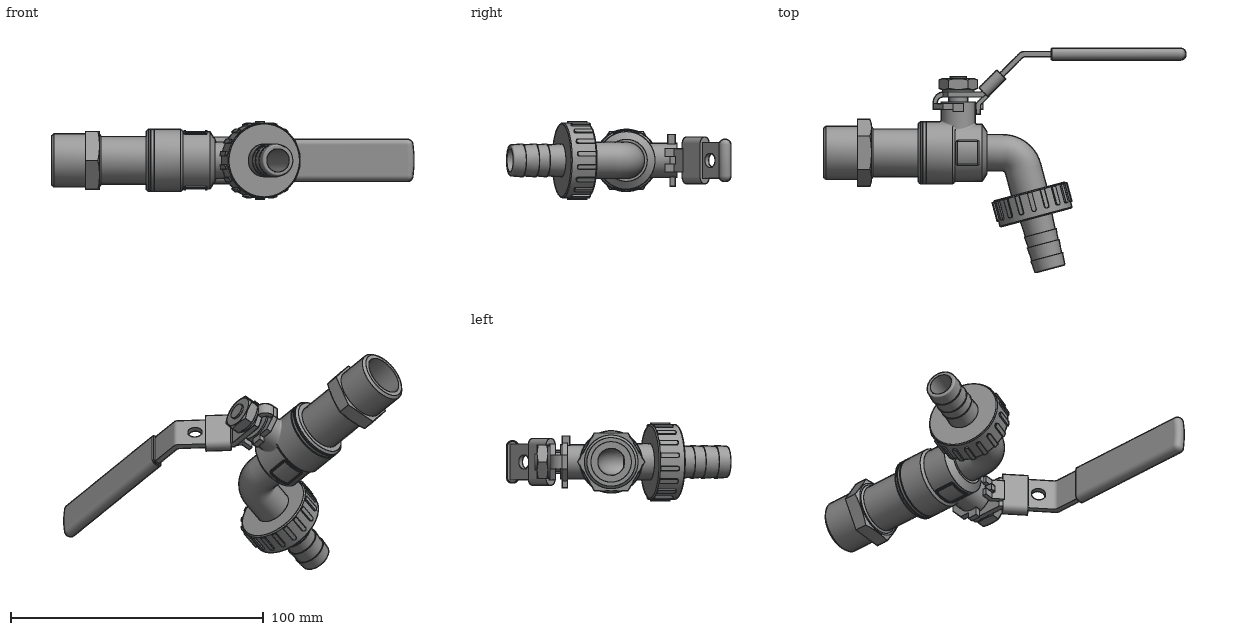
import cadquery as cq
import math


inlet_x = -53.3
inlet_chamfer = 1.0
thread_radius = 10.6
hex_start_x = -39.9
hex_end_x = -34.2
hex_across_flats = 23.0
hex_bevel = 0.7
pipe_radius = 9.5
pipe_fillet_radius = 10.4
pipe_fillet_length = 0.6
collar_start_x = -15.9
collar_end_x = -2.2
collar_radius = 12.35
collar_chamfer = 0.9
groove_places = (-14.3, -12.8)
groove_width = 0.3
groove_depth = 0.2
shell_start_x = -1.2
shell_end_x = 9.4
shell_radius = 11.35
shell_nose_x = 11.4
shell_nose_radius = 8.3
inlet_bore_radius = 8.0
inlet_bore_end_x = collar_start_x
flow_bore_radius = 5.3

frame_center_x = 3.7
frame_length = 9.2
frame_width = 10.0
frame_line = 0.6
frame_corner = 1.0
frame_top = 11.8

spout_radius = 7.25
bend_start_x = 17.6
bend_radius = 8.3
bend_angle = 75.0
nozzle_length = 41.18
nozzle_bore_radius = 4.6
nozzle_root_radius = 6.5
barb_tip_radius = 6.55
barb_root_radius = 6.15
barb_places = (26.4, 30.8, 36.2)
nozzle_tip_fillet = 0.6

cap_start = 9.4
cap_end = 20.1
cap_radius = 14.8
cap_back_chamfer = 0.5
cap_front_chamfer = 0.4
rib_count = 18
rib_top_radius = 15.45
rib_width = 1.8
rib_end = 17.6

boss_radius = 6.8
boss_top_y = 20.1
boss_fillet = 0.6
stop_bottom_y = 17.2
stop_top_y = 19.4
stop_left_x = -9.9
stop_right_x = 9.8
stop_foot_half = 2.8
stop_side_half = 7.5
stop_shoulder_x = -6.0
stop_end_half = 1.5
wing_half_width = 2.0
wing_reach = 10.25
wing_lip = 0.9
stem_radius = 3.8
stem_top_y = 30.1
stem_tip_radius = 3.2
nut_bottom_y = 24.9
nut_top_y = 29.4
nut_across_flats = 13.2
nut_bevel = 0.6
washer_radius = 6.3

slope_angle = 45.0
lever_thickness = 2.1
lever_mid_y = 23.05
lever_half_width = 7.1
lever_shoulder_x = -4.0
lever_neck_x = -6.0
lever_rise_x = 9.4
tab_thickness = 1.7
tab_outer_middle = (-9.2, 22.2)
tab_inner_middle = (-7.8, 21.1)
grip_mid_y = 39.0
grip_start_x = 36.7
grip_start_chamfer = 0.4
overall_length = 143.42
grip_end_x = inlet_x + overall_length
grip_overlap = 1.0
grip_thickness = 4.85
grip_half_width = 8.4
grip_bulge = 0.8
grip_round = 2.3
lever_bend_radius = 2.0
hole_radius = 2.8
hole_y = 33.8

sleeve_mid_y = 27.3
sleeve_length = 10.0
sleeve_thickness = 5.1
sleeve_offset = 0.2
sleeve_half_width = 9.3
tongue_half_width = 4.6
tongue_thickness = 1.7
tongue_x = 7.1
tongue_bottom_y = 15.2
tongue_turn_y = 18.9
tongue_rise = 3.5


def ring(start_x, end_x, outer, inner):
    """A tube about the X axis."""
    tube = cq.Workplane("YZ", origin=(start_x, 0, 0)).circle(outer).circle(inner)
    return tube.extrude(end_x - start_x)


def y_disc(bottom, top, radius):
    """A cylinder about the stem axis."""
    return cq.Workplane("XZ", origin=(0, bottom, 0)).circle(radius).extrude(bottom - top)


def hexagon(plane, origin, across_flats, height, corner_bevel, both_ends):
    """A hexagonal nut with its corners cut back by a cone."""
    corner_radius = across_flats / math.sqrt(3)
    nut = cq.Workplane(plane, origin=origin).polygon(6, 2 * corner_radius).extrude(height)
    bevel_width = corner_radius - across_flats / 2 + corner_bevel / 2
    cone = cq.Workplane(plane, origin=origin).circle(corner_radius).extrude(height)
    cone = cone.faces("|Y" if both_ends else ">X").chamfer(corner_bevel, bevel_width)
    return nut.intersect(cone)



def turned_housing():
    outline = (
        cq.Workplane("XY")
        .moveTo(inlet_x, 0)
        .lineTo(inlet_x, thread_radius - inlet_chamfer)
        .lineTo(inlet_x + inlet_chamfer, thread_radius)
        .lineTo(hex_end_x, thread_radius)
        .lineTo(hex_end_x, pipe_fillet_radius)
        .lineTo(hex_end_x + pipe_fillet_length, pipe_radius)
        .lineTo(collar_start_x, pipe_radius)
        .lineTo(collar_start_x, collar_radius - collar_chamfer)
        .lineTo(collar_start_x + collar_chamfer, collar_radius)
        .lineTo(collar_end_x, collar_radius)
        .lineTo(shell_start_x, shell_radius)
        .lineTo(shell_end_x, shell_radius)
        .lineTo(shell_nose_x, shell_nose_radius)
        .lineTo(shell_nose_x, 0)
        .close()
    )
    housing = outline.revolve(360, (0, 0, 0), (1, 0, 0))
    for groove_x in groove_places:
        housing = housing.cut(
            ring(groove_x, groove_x + groove_width, 2 * collar_radius, collar_radius - groove_depth)
        )
    return housing


def housing_with_boss():
    """Housing with the stem boss blended into it."""
    housing = turned_housing().union(y_disc(0, boss_top_y, boss_radius))
    reach = 1.1 * boss_radius
    foot = cq.selectors.BoxSelector(
        (-reach, pipe_radius / 2, -reach), (reach, stop_top_y, reach), boundingbox=True
    )
    return housing.edges(foot).fillet(boss_fillet)


def inlet_hexagon():
    length = hex_end_x - hex_start_x
    return hexagon("YZ", (hex_start_x, 0, 0), hex_across_flats, length, hex_bevel, False)


def rating_frames():
    frame = (
        cq.Workplane("XY", origin=(frame_center_x, 0, 0))
        .rect(frame_length, frame_width)
        .extrude(collar_radius, both=True)
        .edges("|Z").fillet(frame_corner)
    )
    window = (
        cq.Workplane("XY", origin=(frame_center_x, 0, 0))
        .rect(frame_length - 2 * frame_line, frame_width - 2 * frame_line)
        .extrude(collar_radius, both=True)
    )
    skin = ring(shell_start_x, shell_end_x, frame_top, inlet_bore_radius)
    return frame.cut(window).intersect(skin)


def bend_solid(radius):
    """Straight spout and bend, as a round bar of the given radius."""
    turn = math.radians(bend_angle)
    half_turn = turn / 2
    path = (
        cq.Workplane("XY")
        .moveTo(0, 0)
        .lineTo(bend_start_x, 0)
        .threePointArc(
            (bend_start_x + bend_radius * math.sin(half_turn), -bend_radius * (1 - math.cos(half_turn))),
            (bend_start_x + bend_radius * math.sin(turn), -bend_radius * (1 - math.cos(turn))),
        )
    )
    return cq.Workplane("YZ").circle(radius).sweep(path)


def place_nozzle(shape):
    """Move a shape built along +Z so that it starts at the end of the bend and follows it."""
    turn = math.radians(bend_angle)
    end_x = bend_start_x + bend_radius * math.sin(turn)
    end_y = -bend_radius * (1 - math.cos(turn))
    upright = shape.rotate((0, 0, 0), (0, 1, 0), 90)
    return upright.rotate((0, 0, 0), (0, 0, 1), -bend_angle).translate((end_x, end_y, 0))


def nozzle():
    outline = (
        cq.Workplane("XZ")
        .moveTo(0, 0)
        .lineTo(spout_radius, 0)
        .lineTo(spout_radius, cap_start)
        .lineTo(nozzle_root_radius, cap_end)
        .lineTo(barb_root_radius, barb_places[0])
    )
    for place, barb_end in zip(barb_places, barb_places[1:] + (nozzle_length,)):
        outline = outline.lineTo(barb_tip_radius, place).lineTo(barb_root_radius, barb_end)
    bar = outline.lineTo(0, nozzle_length).close().revolve(360, (0, 0, 0), (0, 1, 0))
    return bar.faces(">Z").edges().fillet(nozzle_tip_fillet)


def coupling_nut():
    cap = cq.Workplane("XY", origin=(0, 0, cap_start)).circle(cap_radius).extrude(cap_end - cap_start)
    cap = cap.faces("<Z").chamfer(cap_back_chamfer).faces(">Z").chamfer(cap_front_chamfer)
    rib_start = cap_start + cap_back_chamfer
    rib = (
        cq.Workplane("YZ")
        .moveTo(-rib_width / 2, rib_start)
        .lineTo(rib_width / 2, rib_start)
        .lineTo(rib_width / 2, rib_end - rib_width / 2)
        .threePointArc((0, rib_end), (-rib_width / 2, rib_end - rib_width / 2))
        .close()
        .extrude(rib_top_radius)
    )
    for number in range(rib_count):
        cap = cap.union(rib.rotate((0, 0, 0), (0, 0, 1), number * 360 / rib_count))
    return cap


def stop_plate():
    """Plate around the boss with a foot, two wings and an end that the locking tongue straddles."""
    thickness = stop_top_y - stop_bottom_y
    plate = (
        cq.Workplane("XZ", origin=(0, stop_top_y, 0))
        .moveTo(stop_left_x, -stop_foot_half)
        .lineTo(stop_shoulder_x, -stop_side_half)
        .lineTo(wing_half_width, -stop_side_half)
        .lineTo(wing_half_width, -stop_end_half)
        .lineTo(stop_right_x, -stop_end_half)
        .lineTo(stop_right_x, stop_end_half)
        .lineTo(wing_half_width, stop_end_half)
        .lineTo(wing_half_width, stop_side_half)
        .lineTo(stop_shoulder_x, stop_side_half)
        .lineTo(stop_left_x, stop_foot_half)
        .close()
        .extrude(thickness)
    )
    wings = cq.Workplane("XY").box(
        2 * wing_half_width, thickness, 2 * wing_reach, centered=(True, False, True)
    )
    lip = cq.Workplane("XY").box(
        2 * wing_half_width, wing_lip, wing_reach, centered=(True, False, False)
    )
    plate = plate.union(wings.translate((0, stop_bottom_y, 0)))
    return plate.union(lip.translate((0, stop_bottom_y - wing_lip, 0)))


def stem_and_nut():
    height = nut_top_y - nut_bottom_y
    nut = hexagon("XZ", (0, nut_top_y, 0), nut_across_flats, height, nut_bevel, True)
    washer = y_disc(lever_mid_y + lever_thickness / 2, nut_bottom_y, washer_radius)
    stem = y_disc(0, nut_bottom_y, stem_radius)
    tip = y_disc(nut_bottom_y, stem_top_y, stem_tip_radius)
    return nut.union(washer).union(stem).union(tip)


def tongue():
    """Bent tongue of the locking sleeve, forked at its tip to straddle the stop plate."""
    inner_turn_y = tongue_turn_y + tongue_thickness * math.tan(math.radians(slope_angle / 2))
    strip = (
        cq.Workplane("XY")
        .moveTo(tongue_x, tongue_bottom_y)
        .lineTo(tongue_x + tongue_thickness, tongue_bottom_y)
        .lineTo(tongue_x + tongue_thickness, tongue_turn_y)
        .lineTo(tongue_x + tongue_thickness + tongue_rise, tongue_turn_y + tongue_rise)
        .lineTo(tongue_x + tongue_rise, inner_turn_y + tongue_rise)
        .lineTo(tongue_x, inner_turn_y)
        .close()
        .extrude(tongue_half_width, both=True)
    )
    slot_depth = stop_top_y - tongue_bottom_y
    fork_slot = cq.Workplane("XY").box(
        2 * tongue_thickness, slot_depth, 2 * stop_end_half, centered=(True, False, True)
    )
    return strip.cut(fork_slot.translate((tongue_x + tongue_thickness / 2, tongue_bottom_y, 0)))


def valve():
    body = housing_with_boss()
    body = body.union(inlet_hexagon()).union(rating_frames())
    body = body.union(bend_solid(spout_radius)).union(place_nozzle(nozzle().union(coupling_nut())))
    body = body.union(stop_plate()).union(stem_and_nut())
    inlet_bore = (
        cq.Workplane("YZ", origin=(inlet_x, 0, 0))
        .circle(inlet_bore_radius)
        .extrude(inlet_bore_end_x - inlet_x)
    )
    through = cq.Workplane("YZ", origin=(inlet_x, 0, 0)).circle(flow_bore_radius).extrude(-inlet_x)
    nozzle_bore = cq.Workplane("XY").circle(nozzle_bore_radius).extrude(nozzle_length)
    body = body.cut(inlet_bore).cut(through).cut(bend_solid(flow_bore_radius))
    return body.cut(place_nozzle(nozzle_bore))



def slope_x(y):
    """X of the middle of the sloping strip at a given Y."""
    return lever_rise_x + (y - lever_mid_y) / math.tan(math.radians(slope_angle))


def lever_strip():
    """Flat strip bent up to the grip, with a narrowed left end and a hole in its slope."""
    half = lever_thickness / 2
    miter = half * math.tan(math.radians(slope_angle / 2))
    top_x = slope_x(grip_mid_y)
    strip = (
        cq.Workplane("XY")
        .moveTo(lever_neck_x, lever_mid_y - half)
        .lineTo(lever_rise_x + miter, lever_mid_y - half)
        .lineTo(top_x + miter, grip_mid_y - half)
        .lineTo(grip_start_x + grip_overlap, grip_mid_y - half)
        .lineTo(grip_start_x + grip_overlap, grip_mid_y + half)
        .lineTo(top_x - miter, grip_mid_y + half)
        .lineTo(lever_rise_x - miter, lever_mid_y + half)
        .lineTo(lever_neck_x, lever_mid_y + half)
        .close()
        .extrude(lever_half_width, both=True)
    )
    upper_bend = cq.selectors.BoxSelector(
        (top_x - lever_thickness, grip_mid_y - lever_thickness, -half),
        (top_x + lever_thickness, grip_mid_y + lever_thickness, half),
    )
    strip = strip.edges("|Z").edges(upper_bend).fillet(lever_bend_radius)
    shoulder_length = lever_shoulder_x - lever_neck_x
    shoulder_width = lever_half_width - stop_foot_half
    strip = strip.edges("|Y").edges("<X").chamfer(shoulder_length, shoulder_width)
    hole_center = (slope_x(hole_y), hole_y, 0)
    slope = math.radians(slope_angle)
    across_slope = (-math.sin(slope), math.cos(slope), 0)
    hole_plane = cq.Plane(origin=hole_center, xDir=(0, 0, 1), normal=across_slope)
    return strip.cut(cq.Workplane(hole_plane).circle(hole_radius).extrude(lever_thickness, both=True))


def stop_tab():
    """Tab curving from the lever plate down onto the foot of the stop plate."""
    return (
        cq.Workplane("XY")
        .moveTo(lever_neck_x, lever_mid_y + lever_thickness / 2)
        .threePointArc(tab_outer_middle, (stop_left_x, stop_top_y))
        .lineTo(stop_left_x + tab_thickness, stop_top_y)
        .threePointArc(tab_inner_middle, (lever_neck_x, lever_mid_y - lever_thickness / 2))
        .close()
        .extrude(stop_foot_half, both=True)
    )


def grip():
    straight_end = grip_end_x - grip_bulge
    block = (
        cq.Workplane("XZ", origin=(0, grip_mid_y + grip_thickness / 2, 0))
        .moveTo(grip_start_x, -grip_half_width)
        .lineTo(straight_end, -grip_half_width)
        .threePointArc((grip_end_x, 0), (straight_end, grip_half_width))
        .lineTo(grip_start_x, grip_half_width)
        .close()
        .extrude(grip_thickness)
    )
    block = block.edges("|Y").edges(">X").fillet(grip_round)
    block = block.faces("<Y or >Y").edges("not <X").fillet(grip_round)
    return block.faces("<X").chamfer(grip_start_chamfer)


def sleeve():
    block = (
        cq.Workplane("YZ", origin=(-sleeve_length / 2, sleeve_offset, 0))
        .slot2D(2 * sleeve_half_width, sleeve_thickness, 90)
        .extrude(sleeve_length)
    )
    return block.rotate((0, 0, 0), (0, 0, 1), slope_angle).translate((slope_x(sleeve_mid_y), sleeve_mid_y, 0))


def lever():
    stem_hole = y_disc(0, stem_top_y, stem_radius)
    arm = lever_strip().union(stop_tab()).union(grip()).union(sleeve()).union(tongue())
    return arm.cut(stem_hole)


result = cq.Compound.makeCompound([valve().val(), lever().val()])